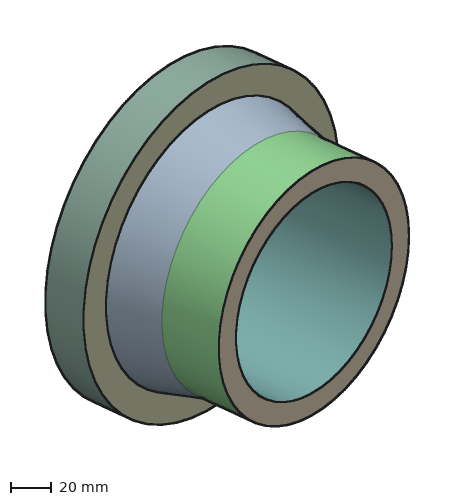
import cadquery as cq

flange_diameter = 188.0
flange_thickness = 25.0
hub_diameter = 155.0
pipe_diameter = 140.0
bore_diameter = 114.7
total_length = 92.0
pipe_length = 37.0

taper_end = total_length - pipe_length
bore_radius = bore_diameter / 2
flange_radius = flange_diameter / 2
hub_radius = hub_diameter / 2
pipe_radius = pipe_diameter / 2

half_section = (
    cq.Workplane("XY")
    .moveTo(0, bore_radius)
    .lineTo(0, flange_radius)
    .lineTo(flange_thickness, flange_radius)
    .lineTo(flange_thickness, hub_radius)
    .lineTo(taper_end, pipe_radius)
    .lineTo(total_length, pipe_radius)
    .lineTo(total_length, bore_radius)
    .close()
)

result = half_section.revolve(360, (0, 0, 0), (1, 0, 0))